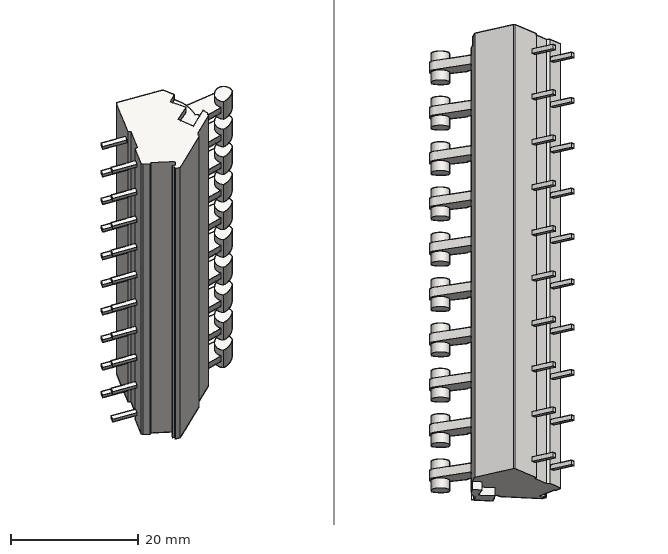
import cadquery as cq
import math

housing_height = 73.45
rear_base_chamfer = 0.15
back_height = 7.7
back_bevel = (0.15, 7.9)
shoulder = (2.4, 10.2)
arc_middle = (3.75, 10.9)
arc_end = (5.2, 11.4)
step_top = (5.3, 11.8)
tread_end = (5.8, 12.05)
ridge_foot = (5.5, 12.4)
crest_left = 6.5
crest_right = 6.95
crest_height = 13.0
ledge_height = 10.3
ledge_width = 0.7
nose_x = 15.0
nose_top = 5.6
nose_bottom = 4.8
hook_outer = 14.65
hook_inner = 14.35
hook_bottom = 4.5
groove_crown = (14.0, 5.15)
front_wall_top = (13.6, 4.85)
front_wall_bottom = (12.7, 1.6)
toe = (12.95, 1.3)
toe_bottom = (12.6, 0.2)
base_front = 12.35
channel_left = 5.8
channel_right = 9.4
channel_depth = 0.45
channel_slant = 0.2

total_height = 74.8
interlock_depth = total_height - housing_height
interlock_corners = [
    (1.4, 9.2),
    (2.55, 8.15),
    (4.35, 10.2),
    (6.1, 8.2),
    (8.15, 10.1),
    (5.15, 13.1),
    (1.4, 13.1),
]

pole_count = 10
pole_span = 67.5
top_pole_inset = 3.2
pole_pitch = pole_span / (pole_count - 1)
first_pole_z = housing_height - top_pole_inset - pole_span

pin_size = 0.75
pin_length = 4.05
pin_embed = 0.75
pin_positions = (5.1, 10.0)

arm_thickness = 1.5
paddle_width = 4.8
head_radius = 1.5
head_center_y = 16.75
arm_head_x = 2.85
paddle_x = 3.3
head_tip_x = 3.1
head_tip = (head_tip_x, head_center_y + head_radius)
face_middle = (4.05, 17.5)
face_end = (4.65, 16.3)
arm_rear_top = (1.4, 16.4)
arm_rear_bottom = (2.55, 9.7)
arm_front_top = (4.4, 16.1)
arm_front_notch = (5.3, 13.0)
arm_neck = (5.1, 12.7)
arm_front_bottom = (5.2, 11.1)


def make_housing():
    crest_slope_end = crest_right + crest_height - ledge_height
    return (
        cq.Workplane("XY")
        .moveTo(rear_base_chamfer, 0)
        .lineTo(0, rear_base_chamfer)
        .lineTo(0, back_height)
        .lineTo(*back_bevel)
        .lineTo(*shoulder)
        .threePointArc(arc_middle, arc_end)
        .lineTo(*step_top)
        .lineTo(*tread_end)
        .lineTo(*ridge_foot)
        .lineTo(crest_left, crest_height)
        .lineTo(crest_right, crest_height)
        .lineTo(crest_slope_end, ledge_height)
        .lineTo(crest_slope_end + ledge_width, ledge_height)
        .lineTo(nose_x, nose_top)
        .lineTo(nose_x, nose_bottom)
        .lineTo(hook_outer, nose_bottom)
        .lineTo(hook_outer, hook_bottom)
        .lineTo(hook_inner, hook_bottom)
        .lineTo(hook_inner, nose_bottom)
        .threePointArc(groove_crown, front_wall_top)
        .lineTo(*front_wall_bottom)
        .lineTo(*toe)
        .lineTo(*toe_bottom)
        .lineTo(base_front, 0)
        .lineTo(channel_right, 0)
        .lineTo(channel_right - channel_slant, channel_depth)
        .lineTo(channel_left + channel_slant, channel_depth)
        .lineTo(channel_left, 0)
        .close()
        .extrude(housing_height)
    )


def make_interlock_prism(bottom_z):
    return (
        cq.Workplane("XY", origin=(0, 0, bottom_z))
        .polyline(interlock_corners)
        .close()
        .extrude(interlock_depth)
    )


def make_tongue(housing):
    """Part of the housing cross-section inside the W outline, below Z = 0."""
    lowered_housing = housing.translate((0, 0, -interlock_depth))
    return lowered_housing.intersect(make_interlock_prism(-interlock_depth))


def make_lever(z):
    arm_rear = (arm_head_x - head_radius, head_center_y)
    arm_top = (arm_head_x, head_center_y + head_radius)
    arm = (
        cq.Workplane("XY", origin=(0, 0, z))
        .moveTo(*arm_rear_bottom)
        .lineTo(*arm_rear_top)
        .threePointArc(arm_rear, arm_top)
        .lineTo(*head_tip)
        .threePointArc(face_middle, face_end)
        .lineTo(*arm_front_top)
        .lineTo(*arm_front_notch)
        .lineTo(*arm_neck)
        .lineTo(*arm_front_bottom)
        .close()
        .extrude(arm_thickness / 2, both=True)
    )
    diagonal = head_radius * math.sqrt(0.5)
    paddle_lower_rear = (paddle_x - diagonal, head_center_y - diagonal)
    paddle = (
        cq.Workplane("XY", origin=(0, 0, z))
        .moveTo(*head_tip)
        .threePointArc(face_middle, face_end)
        .threePointArc(paddle_lower_rear, head_tip)
        .close()
        .extrude(paddle_width / 2, both=True)
    )
    return arm.union(paddle)


def make_pin(x, z):
    length = pin_length + pin_embed
    center_y = pin_embed - length / 2
    return cq.Workplane("XY").box(pin_size, length, pin_size).translate((x, center_y, z))


housing = make_housing()
pocket = make_interlock_prism(housing_height - interlock_depth)
result = housing.cut(pocket).union(make_tongue(housing))

for pole in range(pole_count):
    pole_z = first_pole_z + pole * pole_pitch
    result = result.union(make_lever(pole_z))
    for pin_x in pin_positions:
        result = result.union(make_pin(pin_x, pole_z))